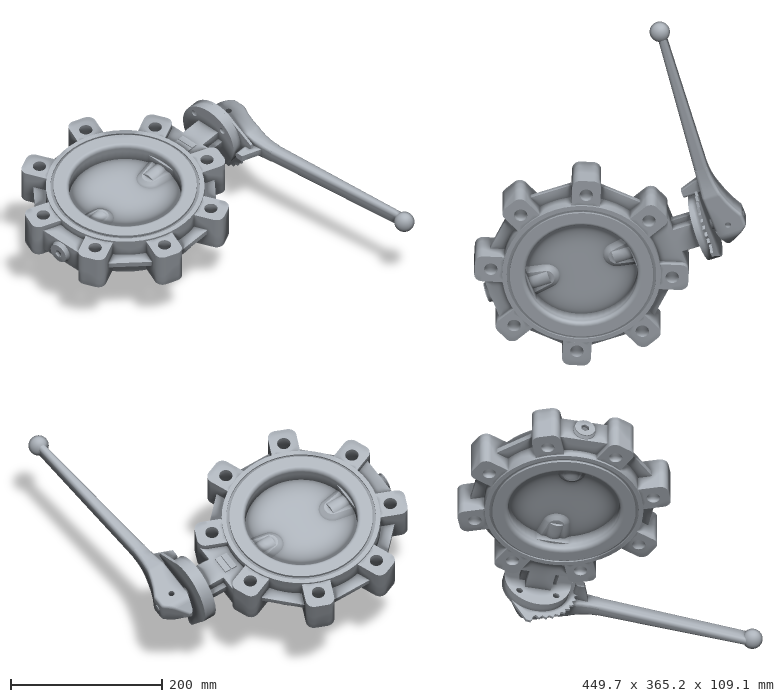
import cadquery as cq
import math

RING_D = 210.0
RING_HEIGHT = 56.0
LINER_D = 190.0
LINER_HEIGHT = 58.5
GROOVE_D = 198.0
GROOVE_DEPTH = 2.2
BORE_D = 149.0
BORE_LIP = 5.5

LUG_COUNT = 8
LUG_STEP = 360 / LUG_COUNT
LUG_HEIGHT = 50.5
LUG_WIDTH = 38.2
LUG_REACH = 141.5
LUG_CORNER = 11.0
BOLT_CIRCLE_R = 120.0
BOLT_HOLE_D = 17.5
WEB_REACH = 120.0
WEB_THICKNESS = 7.0

BLOCK_HEIGHT = 33.7
TOP_BLOCK_REACH = 134.5
BOTTOM_BLOCK_REACH = 126.5
BLOCK_WIDTH = 82.8
BLOCK_ROOT = 90.0
NECK_WIDTH = 34.5
NECK_WING_WIDTH = 49.5
NECK_WING_THICKNESS = 9.5
LABEL_WIDTH = 24.7
LABEL_LENGTH = 8.5
LABEL_PITCH = 9.5
LABEL_Y = 119.0
LABEL_RAISE = 2.0

PLUG_D = 30.0
PLUG_WAIST_D = 25.0
PLUG_RIM_D = 27.0
PLUG_COLLAR = 1.0
PLUG_CONE = 4.0
PLUG_RIM = 1.5
SOCKET_ACROSS_CORNERS = 11.5
SOCKET_DEPTH = 4.5
SOCKET_TURN = 30

DISC_THICKNESS = 9.0
HUB_ROOT_Y = 77.5
HUB_BEND_Y = 45.5
HUB_END_Y = 31.5
HUB_ROOT_WIDTH = 47.5
HUB_BEND_WIDTH = 35.0
HUB_TOP_ROOT_WIDTH = 34.0
HUB_TOP_BEND_WIDTH = 20.5
HUB_RIDGE_WIDTH = 18.5
HUB_TOP_END_Y = 38.5
HUB_SHAFT_D = 27.0
HUB_SEAT_Y = 71.0
HUB_SEAT_WIDTH = 44.0
HUB_SEAT_HEIGHT = 36.0

FLANGE_D = 90.0
FLANGE_Y = 165.0
FLANGE_THICKNESS = 13.5
FLANGE_HOLE_D = 9.0
FLANGE_HOLE_OFFSET = 24.7

PLATE_Y = FLANGE_Y + FLANGE_THICKNESS
PLATE_THICKNESS = 3.5
PLATE_TOP_Y = PLATE_Y + PLATE_THICKNESS
TOOTH_COUNT = 9
TOOTH_STEP = 90 / TOOTH_COUNT
TOOTH_TIP_R = 56.5
TOOTH_ROOT_R = 52.0
HORN_R = 64.5
HORN_INNER_ANGLE = -4.0
HORN_TIP_ANGLE = -6.0
HORN_SHOULDER_R = 59.0
HORN_OUTER_ANGLE = -11.5
HORN_BASE_ANGLE = -48.0

HEAD_THICKNESS = 32.0
HEAD_BOTTOM_Y = 186.2
HEAD_TOP_Y = 227.5
HEAD_FLAT_END_X = 47.5
HEAD_ROUND = 3.5
HEAD_CROWN_ROUND = 6.7
HEAD_HEEL_X = -4.5
HEAD_OVERLAP = 4.5
CROWN_START_X = -10.5
CROWN_END_X = 8.5
SADDLE_X = 46.0
SADDLE_Y = 212.5
CHIN_X = -31.0
CHIN_Y = 192.5
NOSE_X = -33.7
NOSE_BOTTOM_Y = 195.2
NOSE_TOP_Y = 199.0
NOSE_THICKNESS = 7.0
NOSE_SHOULDER_X = -17.5
HEAD_BEND_ROUND = 15.0
GRIP_THICKNESS = 20.5
GRIP_START_X = 88.5
GRIP_START_BOTTOM_Y = 190.0
GRIP_START_TOP_Y = 208.0
GRIP_END_X = 294.5
GRIP_END_BOTTOM_Y = 212.0
GRIP_END_TOP_Y = 222.5
GRIP_ROUND = 5.0
BALL_D = 27.0
BALL_X = 301.5
BALL_Y = 217.0
PIVOT_HOLE_D = 8.0
PIVOT_Y = 205.5
STUD_D = 9.0
STUD_TOP_Y = 228.5
STEM_D = 14.0
LATCH_THICKNESS = 9.5
LATCH_NOSE_X = 51.0
LATCH_FLANK_X = 56.5
LATCH_TIP_Y = 162.0
LATCH_TIP_X = 62.5
LATCH_ROOT_X = 73.5
LATCH_ROOT_Y = 190.0


def cylinder_y(diameter, y_start, y_end):
    """Cylinder about an axis parallel to Y through the origin."""
    base = cq.Workplane("XZ", origin=(0, y_start, 0))
    return base.circle(diameter / 2).extrude(y_start - y_end)


def box_y(width, y_start, y_end, height):
    """Box centred on X and Z that spans a stretch of Y."""
    return cq.Workplane("XY").box(width, y_end - y_start, height).translate((0, (y_start + y_end) / 2, 0))


def ring_blank():
    """Ring turned about Z, with a raised liner face and a groove around it on both ends."""
    ring = cq.Workplane("XY").circle(RING_D / 2).extrude(RING_HEIGHT / 2, both=True)
    groove_floor = RING_HEIGHT / 2 - GROOVE_DEPTH
    groove = cq.Workplane("XY", origin=(0, 0, groove_floor)).circle(GROOVE_D / 2).extrude(GROOVE_DEPTH)
    ring = ring.cut(groove).cut(groove.mirror("XY"))
    liner = cq.Workplane("XY").circle(LINER_D / 2).extrude(LINER_HEIGHT / 2, both=True)
    return ring.union(liner)


def lug(angle):
    """Bolt lug with two rounded outer corners, reaching outward at the given angle."""
    length = LUG_REACH - BLOCK_ROOT
    blank = cq.Workplane("XY").box(length, LUG_WIDTH, LUG_HEIGHT)
    blank = blank.edges("|Z and >X").fillet(LUG_CORNER)
    return blank.translate((BLOCK_ROOT + length / 2, 0, 0)).rotate((0, 0, 0), (0, 0, 1), angle)


def bolt_holes():
    """Through holes for the lugs, one per lug."""
    pattern = cq.Workplane("XY").polarArray(BOLT_CIRCLE_R, LUG_STEP / 2, 360, LUG_COUNT)
    return pattern.circle(BOLT_HOLE_D / 2).extrude(LUG_HEIGHT, both=True)


def bore():
    """Bore with a rounded lip at each end, as a body to cut away."""
    hole = cq.Workplane("XY").circle(BORE_D / 2).extrude(LINER_HEIGHT / 2, both=True)
    lip = (
        cq.Workplane("XZ")
        .moveTo(BORE_D / 2, LINER_HEIGHT / 2)
        .lineTo(BORE_D / 2 + BORE_LIP, LINER_HEIGHT / 2)
        .radiusArc((BORE_D / 2, LINER_HEIGHT / 2 - BORE_LIP), -BORE_LIP)
        .close()
        .revolve(360, (0, 0, 0), (0, 1, 0))
    )
    return hole.union(lip).union(lip.mirror("XY"))


def label_pads():
    """Two raised label strips on the top shaft block."""
    pads = cq.Workplane("XY", origin=(0, LABEL_Y, BLOCK_HEIGHT / 2)).rarray(4.5, LABEL_PITCH, 1, 2)
    return pads.rect(LABEL_WIDTH, LABEL_LENGTH).extrude(LABEL_RAISE)


def bottom_plug():
    """Flared plug with a thin rim, below the bottom shaft block."""
    collar_end = -BOTTOM_BLOCK_REACH - PLUG_COLLAR
    cone_end = collar_end - PLUG_CONE
    profile = [
        (0, -BLOCK_ROOT),
        (PLUG_D / 2, -BLOCK_ROOT),
        (PLUG_D / 2, collar_end),
        (PLUG_WAIST_D / 2, cone_end),
        (PLUG_RIM_D / 2, cone_end),
        (PLUG_RIM_D / 2, cone_end - PLUG_RIM),
        (0, cone_end - PLUG_RIM),
    ]
    return cq.Workplane("XY").polyline(profile).close().revolve(360, (0, 0, 0), (0, 1, 0))


def plug_socket():
    """Hexagon socket with two corners on the Z axis."""
    plug_end = -BOTTOM_BLOCK_REACH - PLUG_COLLAR - PLUG_CONE - PLUG_RIM
    hexagon = cq.Workplane("XZ", origin=(0, plug_end, 0)).polygon(6, SOCKET_ACROSS_CORNERS)
    return hexagon.extrude(-SOCKET_DEPTH).rotate((0, 0, 0), (0, 1, 0), SOCKET_TURN)


def hub_outline(workplane, root_width, bend_width, end_y):
    """Tongue with a straight root and a round end."""
    return (
        workplane.moveTo(root_width / 2, HUB_ROOT_Y)
        .lineTo(bend_width / 2, HUB_BEND_Y)
        .threePointArc((0, end_y), (-bend_width / 2, HUB_BEND_Y))
        .lineTo(-root_width / 2, HUB_ROOT_Y)
        .close()
    )


def disc_hub():
    """Hub on the upper disc face at the +Y end: a sloped tongue with a round ridge."""
    flank_height = math.sqrt((HUB_SHAFT_D / 2) ** 2 - (HUB_RIDGE_WIDTH / 2) ** 2)
    disc_face = DISC_THICKNESS / 2
    face_plane = cq.Workplane("XY", origin=(0, 0, disc_face))
    base = hub_outline(face_plane, HUB_ROOT_WIDTH, HUB_BEND_WIDTH, HUB_END_Y)
    top_plane = base.workplane(offset=flank_height - disc_face)
    top = hub_outline(top_plane, HUB_TOP_ROOT_WIDTH, HUB_TOP_BEND_WIDTH, HUB_TOP_END_Y)
    flanks = top.loft(ruled=True)
    ridge = cylinder_y(HUB_SHAFT_D, HUB_BEND_Y, HUB_ROOT_Y)
    ridge = ridge.intersect(box_y(HUB_RIDGE_WIDTH, HUB_BEND_Y, HUB_ROOT_Y, HUB_SHAFT_D))
    return flanks.union(ridge)


def plate_point(radius, angle):
    """Point of the notch plate; the angle runs from -Z towards +X."""
    turn = math.radians(angle)
    return (radius * math.sin(turn), -radius * math.cos(turn))


def notch_plate():
    """Round plate with a toothed quadrant and a horn at each end of the teeth."""
    outline = [
        (0, 0),
        plate_point(FLANGE_D / 2, HORN_BASE_ANGLE),
        plate_point(HORN_R, HORN_OUTER_ANGLE),
        plate_point(HORN_R, HORN_TIP_ANGLE),
        plate_point(HORN_SHOULDER_R, HORN_INNER_ANGLE),
        plate_point(TOOTH_TIP_R, HORN_INNER_ANGLE),
    ]
    first_horn = outline[1:]
    for index in range(TOOTH_COUNT):
        outline.append(plate_point(TOOTH_ROOT_R, index * TOOTH_STEP))
        outline.append(plate_point(TOOTH_TIP_R, (index + 0.5) * TOOTH_STEP))
    outline.append(plate_point(TOOTH_ROOT_R, 90))
    outline += [(-z, -x) for x, z in reversed(first_horn)]
    quadrant = cq.Workplane("XZ", origin=(0, PLATE_Y, 0)).polyline(outline).close().extrude(-PLATE_THICKNESS)
    return quadrant.union(cylinder_y(FLANGE_D, PLATE_Y, PLATE_TOP_Y))


def lever_flange():
    """Round flange with four bolt holes through it."""
    holes = cq.Workplane("XZ", origin=(0, FLANGE_Y, 0)).rect(
        2 * FLANGE_HOLE_OFFSET, 2 * FLANGE_HOLE_OFFSET, forConstruction=True
    )
    holes = holes.vertices().circle(FLANGE_HOLE_D / 2).extrude(-FLANGE_THICKNESS)
    return cylinder_y(FLANGE_D, FLANGE_Y, PLATE_Y).cut(holes)


def make_valve():
    """Valve: ring with lugs, webs, neck and lever flange, and the closed disc across its bore."""
    valve = ring_blank()
    web_corners_d = 2 * WEB_REACH / math.cos(math.radians(LUG_STEP / 2))
    webs = cq.Workplane("XY").polygon(LUG_COUNT, web_corners_d).extrude(WEB_THICKNESS / 2, both=True)
    valve = valve.union(webs.rotate((0, 0, 0), (0, 0, 1), LUG_STEP / 2))
    for index in range(LUG_COUNT):
        valve = valve.union(lug((index + 0.5) * LUG_STEP))
    valve = valve.union(box_y(BLOCK_WIDTH, BLOCK_ROOT, TOP_BLOCK_REACH, BLOCK_HEIGHT))
    valve = valve.union(box_y(BLOCK_WIDTH, -BOTTOM_BLOCK_REACH, -BLOCK_ROOT, BLOCK_HEIGHT))
    valve = valve.union(box_y(NECK_WIDTH, BLOCK_ROOT, FLANGE_Y, BLOCK_HEIGHT))
    valve = valve.union(box_y(NECK_WING_WIDTH, BLOCK_ROOT, FLANGE_Y, NECK_WING_THICKNESS))
    valve = valve.union(label_pads()).union(bottom_plug()).cut(plug_socket())
    valve = valve.cut(bolt_holes())

    valve = valve.cut(bore())
    disc = cq.Workplane("XY").circle(BORE_D / 2).extrude(DISC_THICKNESS / 2, both=True)
    valve = valve.union(disc)
    seat = box_y(HUB_SEAT_WIDTH, HUB_SEAT_Y, HUB_ROOT_Y, HUB_SEAT_HEIGHT)
    hub = disc_hub()
    hubs = hub.union(hub.mirror("XY")).union(seat)
    valve = valve.union(hubs).union(hubs.mirror("XZ"))
    return valve.union(lever_flange())


def lever_head():
    """Head whose side outline and plan outline are crossed, so its nose narrows both ways."""
    side = (
        cq.Workplane("XY")
        .moveTo(NOSE_X, NOSE_BOTTOM_Y)
        .lineTo(NOSE_X, NOSE_TOP_Y)
        .lineTo(CROWN_START_X, HEAD_TOP_Y)
        .lineTo(CROWN_END_X, HEAD_TOP_Y)
        .threePointArc((SADDLE_X, SADDLE_Y), (GRIP_START_X, GRIP_START_TOP_Y))
        .lineTo(GRIP_START_X, GRIP_START_BOTTOM_Y)
        .lineTo(HEAD_FLAT_END_X, HEAD_BOTTOM_Y)
        .lineTo(HEAD_HEEL_X, HEAD_BOTTOM_Y)
        .lineTo(CHIN_X, CHIN_Y)
        .close()
        .extrude(HEAD_THICKNESS, both=True)
    )
    side = side.edges("|Z and >Y").fillet(HEAD_CROWN_ROUND)
    taper_mid_x = (HEAD_FLAT_END_X + GRIP_START_X) / 2
    taper_mid_z = GRIP_THICKNESS / 2 + (HEAD_THICKNESS - GRIP_THICKNESS) / 8
    plan_blank = (
        cq.Workplane("XZ")
        .moveTo(NOSE_X, NOSE_THICKNESS / 2)
        .lineTo(NOSE_SHOULDER_X, HEAD_THICKNESS / 2)
        .lineTo(HEAD_FLAT_END_X, HEAD_THICKNESS / 2)
        .threePointArc((taper_mid_x, taper_mid_z), (GRIP_START_X, GRIP_THICKNESS / 2))
        .lineTo(GRIP_START_X, -GRIP_THICKNESS / 2)
        .threePointArc((taper_mid_x, -taper_mid_z), (HEAD_FLAT_END_X, -HEAD_THICKNESS / 2))
        .lineTo(NOSE_SHOULDER_X, -HEAD_THICKNESS / 2)
        .lineTo(NOSE_X, -NOSE_THICKNESS / 2)
        .close()
        .extrude(-HEAD_TOP_Y)
    )
    bends = cq.selectors.BoxSelector(
        (NOSE_SHOULDER_X - 4.5, 0, -HEAD_THICKNESS), (HEAD_FLAT_END_X + 4.5, HEAD_TOP_Y, HEAD_THICKNESS)
    )
    plan_blank = plan_blank.edges("|Y").edges(bends).fillet(HEAD_BEND_ROUND)
    return side.intersect(plan_blank)


def lever_grip():
    """Tapering grip with rounded long edges."""
    profile = [
        (GRIP_START_X, GRIP_START_BOTTOM_Y),
        (GRIP_END_X, GRIP_END_BOTTOM_Y),
        (GRIP_END_X, GRIP_END_TOP_Y),
        (GRIP_START_X, GRIP_START_TOP_Y),
    ]
    blank = cq.Workplane("XY").polyline(profile).close().extrude(GRIP_THICKNESS / 2, both=True)
    return blank.edges("not(|Z or |Y)").fillet(GRIP_ROUND)


def latch():
    """Latch finger under the head, with a round nose that sits in a plate notch."""
    side = [
        (LATCH_NOSE_X, HEAD_BOTTOM_Y + HEAD_OVERLAP),
        (LATCH_NOSE_X, LATCH_TIP_Y),
        (LATCH_TIP_X, LATCH_TIP_Y),
        (LATCH_ROOT_X, LATCH_ROOT_Y),
        (LATCH_ROOT_X, HEAD_BOTTOM_Y + HEAD_OVERLAP),
    ]
    plan_blank = (
        cq.Workplane("XZ")
        .moveTo(LATCH_ROOT_X, LATCH_THICKNESS / 2)
        .lineTo(LATCH_FLANK_X, LATCH_THICKNESS / 2)
        .threePointArc((LATCH_NOSE_X, 0), (LATCH_FLANK_X, -LATCH_THICKNESS / 2))
        .lineTo(LATCH_ROOT_X, -LATCH_THICKNESS / 2)
        .close()
        .extrude(-HEAD_TOP_Y)
    )
    side_blank = cq.Workplane("XY").polyline(side).close().extrude(LATCH_THICKNESS, both=True)
    return side_blank.intersect(plan_blank)


def make_lever():
    """Lever: head, grip, ball, stem and latch on the notch plate that lies on the flange."""
    head = lever_head().edges("|X").fillet(HEAD_ROUND)
    lever = head.union(lever_grip())
    lever = lever.union(cq.Workplane("XY").sphere(BALL_D / 2).translate((BALL_X, BALL_Y, 0)))
    lever = lever.cut(
        cq.Workplane("XY").center(0, PIVOT_Y).circle(PIVOT_HOLE_D / 2).extrude(HEAD_THICKNESS, both=True)
    )
    lever = lever.union(cylinder_y(STUD_D, HEAD_TOP_Y - HEAD_OVERLAP, STUD_TOP_Y))
    lever = lever.union(cylinder_y(STEM_D, PLATE_TOP_Y, HEAD_BOTTOM_Y + HEAD_OVERLAP))
    return lever.union(notch_plate()).union(latch())


lever = make_lever()
valve = make_valve()
result = cq.Compound.makeCompound([valve.val(), lever.val()])